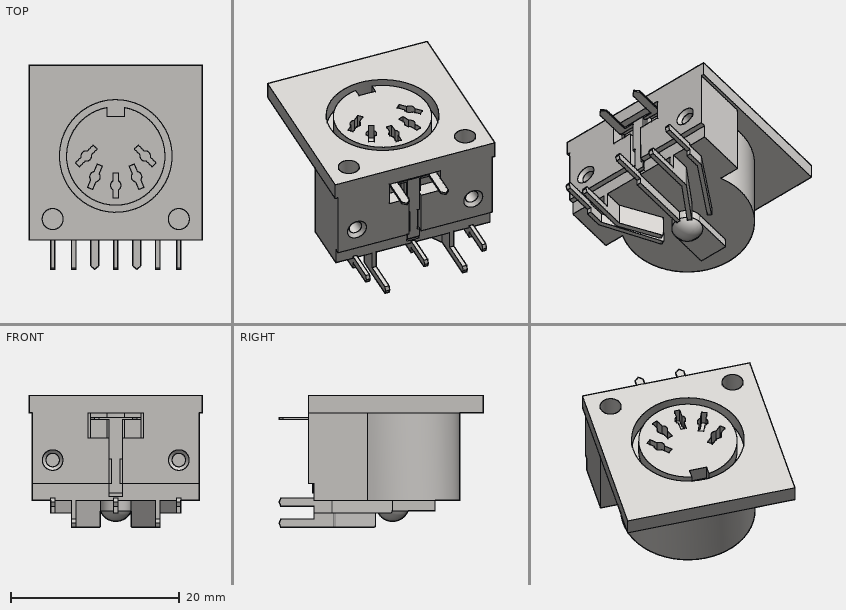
import cadquery as cq
import math


flange_width = 20.6
flange_front_y = -10.0
flange_back_y = 10.8
flange_thickness = 2.1

housing_half_width = 9.95
housing_radius = 8.0
housing_shoulder_y = -3.0
housing_bottom_z = -12.5
step_top_z = -10.5
step_y = -9.36

recess_radius = 6.7
insert_radius = 5.85
insert_drop = 0.2
key_width = 2.1
key_inner_y = 4.7
contact_circle_radius = 3.5
contact_spacing_deg = 45
slot_length = 3.0
slot_width = 0.67
contact_hole_diameter = 1.24

screw_x = 7.5
flange_hole_y = -7.5
flange_hole_diameter = 2.5
flange_hole_depth = 5.0
front_hole_z = -7.7
front_hole_mouth_diameter = 2.45
front_hole_diameter = 1.6
front_hole_cone_depth = 0.45
front_hole_depth = 2.5

window_half_width = 3.3
window_inner_half_width = 3.0
window_bottom_z = -5.05
window_ledge_y = -8.35
window_back_y = -8.2
core_half_width = 1.04
core_radius = 9.2
channel_back_y = -9.1
channel_bottom_z = -12.05

spring_width = 1.56
spring_front_y = -9.52
spring_bottom_z = -11.6
neck_width = 0.96
neck_top_z = -7.55
bar_half_width = 3.0
bar_top_z = -2.63
sheet_thickness = 0.25
ground_pin_x = 2.5
ground_pin_width = 1.0
ground_tip_length = 0.45

pin_end_y = -13.5
pin_height = 1.0
pin_tip_length = 0.2
upper_pin_top_z = -12.2
upper_blade_bottom_z = -14.0
lower_blade_bottom_z = -15.7
terminal_thickness = 0.5
inner_terminal_thickness = 0.55
blade_corner_radius = 0.3
outer_x = 7.5
outer_bend_y = -7.25
outer_end_x = contact_circle_radius
outer_end_y = -0.15
inner_x = 5.0
inner_bend_y = -7.0
inner_end_x = 2.05
inner_end_y = -2.15

boss_radius = 1.84
boss_back_y = 5.05
boss_bottom_z = -13.75
dome_height = 1.25


def box_between(x0, x1, y0, y1, z0, z1):
    """Axis-aligned box given by its limits."""
    return cq.Workplane("XY").box(x1 - x0, y1 - y0, z1 - z0, centered=False).translate((x0, y0, z0))


def centred_box(width, y0, y1, z0, z1):
    """Box symmetric about X = 0."""
    return box_between(-width / 2, width / 2, y0, y1, z0, z1)


def make_shell():
    """Flange, housing with a round back, and the step along the front bottom edge."""
    flange = centred_box(flange_width, flange_front_y, flange_back_y, -flange_thickness, 0)
    round_edge_x = math.sqrt(housing_radius ** 2 - housing_shoulder_y ** 2)
    housing = (
        cq.Workplane("XY")
        .workplane(offset=housing_bottom_z)
        .moveTo(-housing_half_width, flange_front_y)
        .lineTo(housing_half_width, flange_front_y)
        .lineTo(housing_half_width, housing_shoulder_y)
        .lineTo(round_edge_x, housing_shoulder_y)
        .threePointArc((0, housing_radius), (-round_edge_x, housing_shoulder_y))
        .lineTo(-housing_half_width, housing_shoulder_y)
        .close()
        .extrude(-housing_bottom_z)
    )
    step = centred_box(2 * housing_half_width, flange_front_y, step_y, housing_bottom_z, step_top_z)
    return flange.union(housing.cut(step))


def contact_slot(angle_deg):
    """Cutter for one contact: a slot with a round hole in its middle, turned by half its angle."""
    angle = math.radians(angle_deg)
    slot = (
        cq.Workplane("XY")
        .rect(slot_width, slot_length)
        .extrude(-flange_thickness)
        .union(cq.Workplane("XY").circle(contact_hole_diameter / 2).extrude(-flange_thickness))
    )
    centre = (contact_circle_radius * math.sin(angle), -contact_circle_radius * math.cos(angle), 0)
    return slot.rotate((0, 0, 0), (0, 0, 1), angle_deg / 2).translate(centre)


def cut_socket(body):
    """Ring recess around the keyed insert, with five contact slots."""
    recess = cq.Workplane("XY").circle(recess_radius).extrude(-flange_thickness)
    insert = (
        cq.Workplane("XY")
        .workplane(offset=-flange_thickness)
        .circle(insert_radius)
        .extrude(flange_thickness - insert_drop)
        .cut(centred_box(key_width, key_inner_y, recess_radius, -flange_thickness, 0))
    )
    for position in range(-2, 3):
        insert = insert.cut(contact_slot(position * contact_spacing_deg))
    return body.cut(recess).union(insert)


def cut_screw_holes(body):
    """Vertical holes through the flange and countersunk holes in the front face."""
    bottom_radius = front_hole_diameter / 2
    for x in (-screw_x, screw_x):
        flange_hole = (
            cq.Workplane("XY")
            .center(x, flange_hole_y)
            .circle(flange_hole_diameter / 2)
            .extrude(-flange_hole_depth)
        )
        front_hole = (
            cq.Workplane("XY")
            .lineTo(front_hole_mouth_diameter / 2, 0)
            .lineTo(bottom_radius, front_hole_cone_depth)
            .lineTo(bottom_radius, front_hole_depth)
            .lineTo(0, front_hole_depth)
            .close()
            .revolve(360, (0, 0, 0), (0, 1, 0))
            .translate((x, flange_front_y, front_hole_z))
        )
        body = body.cut(flange_hole).cut(front_hole)
    return body


def cut_spring_seat(body):
    """Stepped window with a rounded core left in its middle, and the channel running down from it."""
    window_height = -flange_thickness - window_bottom_z
    window_mouth = centred_box(
        2 * window_half_width, flange_front_y, window_ledge_y, window_bottom_z, -flange_thickness
    )
    window = window_mouth.union(centred_box(
        2 * window_inner_half_width, flange_front_y, window_back_y, window_bottom_z, -flange_thickness
    ))
    core = (
        cq.Workplane("XY")
        .workplane(offset=window_bottom_z)
        .circle(core_radius)
        .extrude(window_height)
        .intersect(
            centred_box(2 * core_half_width, flange_front_y, 0, window_bottom_z, -flange_thickness)
        )
    )
    channel = centred_box(
        spring_width, flange_front_y, channel_back_y, channel_bottom_z, window_bottom_z
    )
    return body.cut(window.cut(core)).cut(channel)


def make_spring():
    """T-shaped earthing spring: a necked strip, a cross bar and two pointed pins."""
    strip = centred_box(spring_width, spring_front_y, channel_back_y, spring_bottom_z, bar_top_z)
    neck_sides = centred_box(spring_width, spring_front_y, channel_back_y, step_top_z, neck_top_z).cut(
        centred_box(neck_width, spring_front_y, channel_back_y, step_top_z, neck_top_z)
    )
    bar_bottom_z = bar_top_z - sheet_thickness
    bar = centred_box(2 * bar_half_width, spring_front_y, channel_back_y, bar_bottom_z, bar_top_z)
    spring = strip.cut(neck_sides).union(bar)

    half_width = ground_pin_width / 2
    shoulder_y = pin_end_y + ground_tip_length
    for x in (-ground_pin_x, ground_pin_x):
        pin = (
            cq.Workplane("XY")
            .workplane(offset=bar_bottom_z)
            .polyline([
                (x - half_width, channel_back_y),
                (x - half_width, shoulder_y),
                (x, pin_end_y),
                (x + half_width, shoulder_y),
                (x + half_width, channel_back_y),
            ])
            .close()
            .extrude(sheet_thickness)
        )
        spring = spring.union(pin)
    return spring


def make_pin(x, thickness, top_z):
    """Straight pin with a pointed tip, starting at the step face."""
    bottom_z = top_z - pin_height
    shoulder_y = pin_end_y + pin_tip_length
    return (
        cq.Workplane("YZ")
        .workplane(offset=x - thickness / 2)
        .polyline([
            (step_y, top_z),
            (shoulder_y, top_z),
            (pin_end_y, (top_z + bottom_z) / 2),
            (shoulder_y, bottom_z),
            (step_y, bottom_z),
        ])
        .close()
        .extrude(thickness)
    )


def make_blade(x, thickness, bend_y, end_x, end_y, bottom_z):
    """Upright sheet under the housing: straight back from the front, then slanting to its end."""
    half = thickness / 2
    straight = box_between(x - half, x + half, step_y, bend_y, bottom_z, housing_bottom_z)
    run = math.hypot(end_x - x, end_y - bend_y)
    turn = math.degrees(math.atan2(end_x - x, end_y - bend_y))
    slanted = (
        box_between(-half, half, 0, run, bottom_z, housing_bottom_z)
        .edges(">Y and <Z")
        .fillet(blade_corner_radius)
        .rotate((0, 0, 0), (0, 0, 1), -turn)
        .translate((x, bend_y, 0))
    )
    knee = (
        cq.Workplane("XY")
        .workplane(offset=bottom_z)
        .center(x, bend_y)
        .circle(half)
        .extrude(housing_bottom_z - bottom_z)
    )
    return straight.union(knee).union(slanted)


def make_terminals():
    """Five contact terminals: one central, and an outer and an inner one on each side."""
    centre_blade = centred_box(
        terminal_thickness, step_y, 0, upper_blade_bottom_z, housing_bottom_z
    )
    terminals = centre_blade.union(make_pin(0, terminal_thickness, upper_pin_top_z))

    lower_pin_top_z = lower_blade_bottom_z + pin_height
    for side in (-1, 1):
        outer = make_blade(
            side * outer_x, terminal_thickness, outer_bend_y,
            side * outer_end_x, outer_end_y, upper_blade_bottom_z,
        ).union(make_pin(side * outer_x, terminal_thickness, upper_pin_top_z))
        inner = make_blade(
            side * inner_x, inner_terminal_thickness, inner_bend_y,
            side * inner_end_x, inner_end_y, lower_blade_bottom_z,
        ).union(make_pin(side * inner_x, inner_terminal_thickness, lower_pin_top_z))
        terminals = terminals.union(outer).union(inner)
    return terminals


def make_boss():
    """Boss under the housing, round in front and straight to the back, with a dome on the axis."""
    height = housing_bottom_z - boss_bottom_z
    boss = (
        cq.Workplane("XY")
        .workplane(offset=boss_bottom_z)
        .circle(boss_radius)
        .extrude(height)
        .union(centred_box(2 * boss_radius, 0, boss_back_y, boss_bottom_z, housing_bottom_z))
    )
    sphere_radius = (boss_radius ** 2 + dome_height ** 2) / (2 * dome_height)
    dome = (
        cq.Workplane("XY")
        .sphere(sphere_radius)
        .translate((0, 0, boss_bottom_z - dome_height + sphere_radius))
        .intersect(
            cq.Workplane("XY").workplane(offset=boss_bottom_z).circle(boss_radius).extrude(-dome_height)
        )
    )
    return boss.union(dome)


body = make_shell()
body = cut_socket(body)
body = cut_screw_holes(body)
body = cut_spring_seat(body)
result = body.union(make_spring()).union(make_terminals()).union(make_boss())